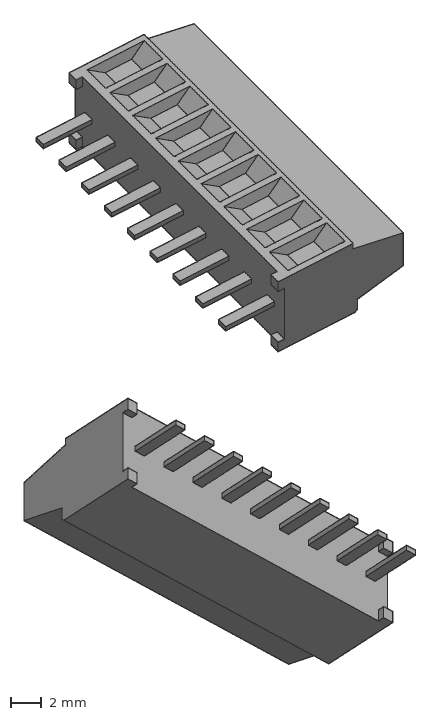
import cadquery as cq

contact_count = 9
pitch = 2.54
end_margin = 1.5
housing_length = (contact_count - 1) * pitch + 2 * end_margin

housing_height = 6.5
housing_depth = 9.5
top_step_y = 5.5
top_step_z = 6.0
bottom_step_y = 5.85
bottom_step_z = 1.1
back_top_z = 5.1
back_bottom_z = 2.05
bottom_chamfer = 0.2

foot_width = 0.8
foot_height = 0.9
foot_projection = 0.5

pin_width = 0.8
pin_thickness = 0.4
pin_length = 3.9
pin_z = housing_height / 2

well_front_y = 0.62
well_back_y = 5.18
well_width = 2.05
well_depth = 0.75
floor_front_y = 1.85
floor_back_y = 3.95
floor_width = 1.45

contact_xs = [(i - (contact_count - 1) / 2) * pitch for i in range(contact_count)]


def make_housing():
    profile = [
        (0, 0),
        (bottom_step_y - bottom_chamfer, 0),
        (bottom_step_y, bottom_chamfer),
        (bottom_step_y, bottom_step_z),
        (housing_depth, back_bottom_z),
        (housing_depth, back_top_z),
        (top_step_y, top_step_z),
        (top_step_y, housing_height),
        (0, housing_height),
    ]
    section = cq.Workplane("YZ").polyline(profile).close()
    return section.extrude(housing_length / 2, both=True)


def make_foot(side, bottom_z):
    """Foot at the -X (side = -1) or +X (side = 1) end, flush with the housing's end face."""
    foot_x = side * (housing_length - foot_width) / 2
    foot = cq.Workplane("XY").box(foot_width, foot_projection, foot_height)
    return foot.translate((foot_x, -foot_projection / 2, bottom_z + foot_height / 2))


def make_pin(x):
    pin = cq.Workplane("XY").box(pin_width, pin_length, pin_thickness)
    return pin.translate((x, -pin_length / 2, pin_z))


def make_well(x):
    """Cutter that tapers from the opening in the top face down to a smaller flat floor."""
    opening_y = (well_front_y + well_back_y) / 2
    floor_y = (floor_front_y + floor_back_y) / 2
    return (
        cq.Workplane("XY", origin=(x, opening_y, housing_height))
        .rect(well_width, well_back_y - well_front_y)
        .workplane(offset=-well_depth)
        .center(0, floor_y - opening_y)
        .rect(floor_width, floor_back_y - floor_front_y)
        .loft(ruled=True)
    )


result = make_housing()

for side in (-1, 1):
    for bottom_z in (0, housing_height - foot_height):
        result = result.union(make_foot(side, bottom_z))

for x in contact_xs:
    result = result.cut(make_well(x))
    result = result.union(make_pin(x))